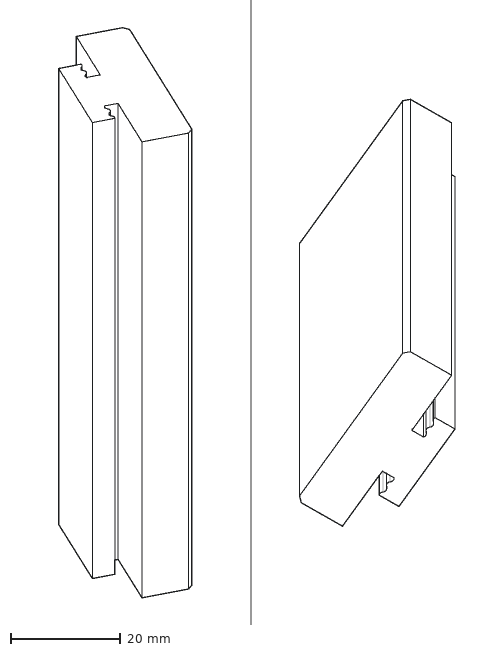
import cadquery as cq

length = 100.0
body_width = 37.0
body_depth = 10.0
corner_chamfer = 1.0

stem_width = 10.0
slot_gap = 2.1
flange_width = 19.0
flange_depth = 4.4

wave_pitch = 2.5
wave_height = 0.6
inner_crest_x = 6.7

total_depth = body_depth + slot_gap + flange_depth
back_y = total_depth / 2
body_front_y = back_y - body_depth
crest_y = body_front_y - slot_gap
wave_mid_y = crest_y - wave_height / 2
trough_y = crest_y - wave_height
front_y = -total_depth / 2


def block(width, y_min, y_max):
    """Full-length block, centred on X and Z, between two Y positions."""
    return cq.Workplane("XY").box(width, y_max - y_min, length).translate((0, (y_min + y_max) / 2, 0))


def waved_strip():
    """Strip on the +X side whose +Y face is two waves of alternating trough and crest arcs."""
    start_x = inner_crest_x - 3 * wave_pitch / 4
    end_x = start_x + 2 * wave_pitch
    strip = cq.Workplane("XY", origin=(0, 0, -length / 2)).moveTo(start_x, wave_mid_y)
    for index, peak_y in enumerate((trough_y, crest_y, trough_y, crest_y)):
        peak_x = start_x + (index + 0.5) * wave_pitch / 2
        strip = strip.threePointArc((peak_x, peak_y), (peak_x + wave_pitch / 4, wave_mid_y))
    return strip.lineTo(end_x, front_y).lineTo(start_x, front_y).close().extrude(length)


body = block(body_width, body_front_y, back_y)
body = body.faces(">Y").edges("|Z").chamfer(corner_chamfer)
stem = block(stem_width, front_y, back_y)

right_waves = waved_strip()
flange = block(flange_width, front_y, trough_y).union(right_waves).union(right_waves.mirror("YZ"))

flange = flange.intersect(block(flange_width, front_y, back_y))

result = body.union(stem).union(flange).clean()